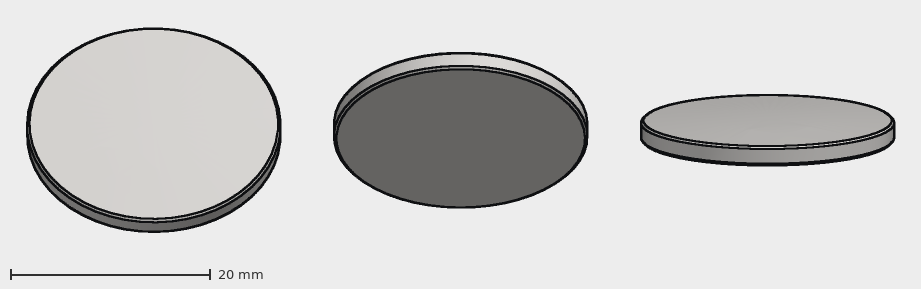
import cadquery as cq
import math

diameter = 25.4
center_thickness = 2.35
edge_thickness = 2.0
bevel = 0.25

radius = diameter / 2
rim_radius = radius - bevel
sag = center_thickness - edge_thickness
sphere_radius = (rim_radius**2 + sag**2) / (2 * sag)


def dome_height(r):
    """Height of the spherical face at distance r from the lens axis."""
    return center_thickness - sphere_radius + math.sqrt(sphere_radius**2 - r**2)


def lens_profile():
    """Half section of the lens in the YZ plane, on the -Y side of its axis."""
    return (
        cq.Workplane("YZ")
        .moveTo(0, 0)
        .lineTo(-rim_radius, 0)
        .lineTo(-radius, bevel)
        .lineTo(-radius, edge_thickness - bevel)
        .lineTo(-rim_radius, edge_thickness)
        .threePointArc(
            (-rim_radius / 2, dome_height(rim_radius / 2)),
            (0, center_thickness),
        )
        .close()
    )


result = lens_profile().revolve(360, (0, 0, 0), (0, 1, 0))